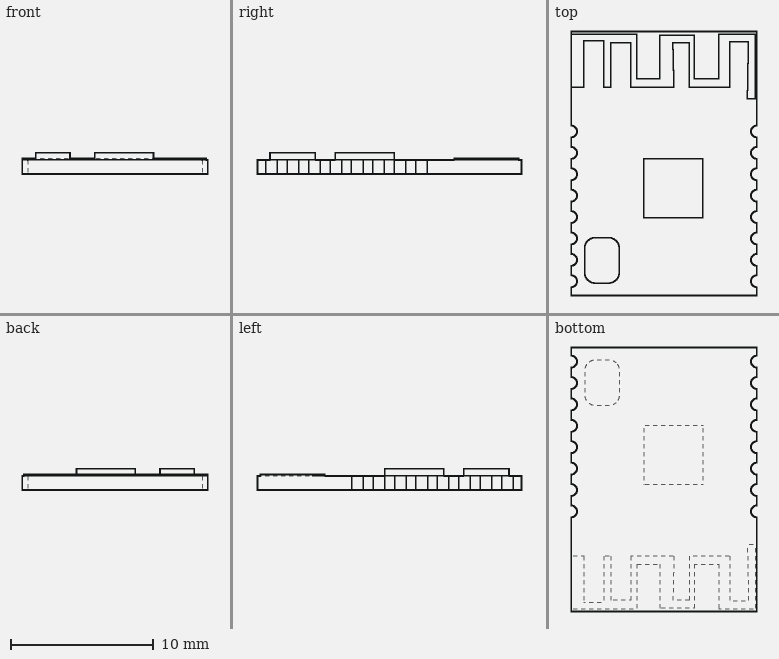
import cadquery as cq

board_width = 13.0
board_length = 18.5
board_thickness = 1.0
overall_height = 1.5
component_height = overall_height - board_thickness

notch_radius = 0.4
notch_pitch = 1.5
notch_count = 8
first_notch_y = 1.0

chip_side = 4.15
chip_left = 5.07
chip_front = 5.44

can_width = 2.42
can_length = 3.18
can_left = 0.95
can_front = 0.87
can_corner_radius = 0.74

trace_height = 0.11
trace_back = board_length - 0.2
middle_loop_back = board_length - 0.28
inner_gap_back = board_length - 0.81
feed_gap_back = board_length - 0.67
end_gap_back = board_length - 0.74
meander_inner_front = board_length - 3.31
meander_front = board_length - 3.9
tail_front = board_length - 4.72

feed_right = 0.87
short_leg_left = 2.3
short_leg_right = 2.75
first_leg_left = 4.18
first_leg_right = 4.59
second_leg_left = 6.2
second_leg_right_back = 7.12
second_leg_right_front = 7.2
third_leg_left = 8.29
third_leg_right = 8.62
fourth_leg_left = 10.32
fourth_leg_right = 11.12
tail_left_back = 12.41
tail_left_front = 12.34
tail_right = 12.88


def make_board():
    board = cq.Workplane("XY").box(board_width, board_length, board_thickness, centered=False)
    notch_centers = [
        (edge_x, first_notch_y + index * notch_pitch)
        for edge_x in (0, board_width)
        for index in range(notch_count)
    ]
    notches = (
        cq.Workplane("XY")
        .pushPoints(notch_centers)
        .circle(notch_radius)
        .extrude(board_thickness)
    )
    return board.cut(notches)


def make_component(left, front, width, length):
    """Block standing on the top face of the board."""
    return (
        cq.Workplane("XY", origin=(left, front, board_thickness))
        .box(width, length, component_height, centered=False)
    )


def make_antenna():
    outline = [
        (0, trace_back),
        (first_leg_right, trace_back),
        (first_leg_right, meander_inner_front),
        (second_leg_left, meander_inner_front),
        (second_leg_left, middle_loop_back),
        (third_leg_right, middle_loop_back),
        (third_leg_right, meander_inner_front),
        (fourth_leg_left, meander_inner_front),
        (fourth_leg_left, trace_back),
        (tail_right, trace_back),
        (tail_right, tail_front),
        (tail_left_front, tail_front),
        (tail_left_back, end_gap_back),
        (fourth_leg_right, end_gap_back),
        (fourth_leg_right, meander_front),
        (third_leg_left, meander_front),
        (third_leg_left, inner_gap_back),
        (second_leg_right_back, inner_gap_back),
        (second_leg_right_front, meander_front),
        (first_leg_left, meander_front),
        (first_leg_left, inner_gap_back),
        (short_leg_right, inner_gap_back),
        (short_leg_right, meander_front),
        (short_leg_left, meander_front),
        (short_leg_left, feed_gap_back),
        (feed_right, feed_gap_back),
        (feed_right, meander_front),
        (0, meander_front),
    ]
    return (
        cq.Workplane("XY", origin=(0, 0, board_thickness))
        .polyline(outline)
        .close()
        .extrude(trace_height)
    )


chip = make_component(chip_left, chip_front, chip_side, chip_side)
can = make_component(can_left, can_front, can_width, can_length)
can = can.edges("|Z").fillet(can_corner_radius)

result = make_board().union(chip).union(can).union(make_antenna())